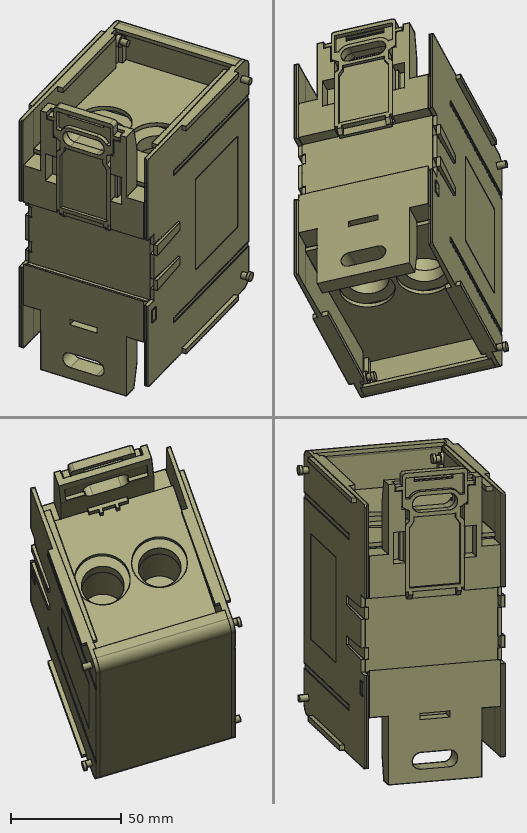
import cadquery as cq


depth = 95.0
half_height = 62.5
half_width = 33.3
sheet = 1.9
inner_half = half_width - sheet
plate_back_radius = 5.1
plate_front_radius = 1.2

chamber_z = 41.2
floor_front_y = 10.1
floor_slab = 2.0
shadow_groove = 0.7
block_z = 38.2
block_half = 31.0
tab_half = 22.1
tab_top_z = 71.2
tab_bottom_z = -70.8
tab_tip_y = 7.2
tab_taper_z = 58.5
rail_z = 18.2
rail_y = 5.4
hook_rise = 2.2
hook_y = 3.8
lip_y = 85.3
slot_z = 60.7
slot_radius = 4.0
slot_half = 10.7

clip_thick = 4.1
clip_top_z = 75.8
clip_tip_z = 15.7
clip_half = 13.9
head_half = 15.4
head_z = 59.8
ear_half = 18.5
ear_z = 67.9
ear_high = 1.9
clip_gap = 0.3
head_recess_z = 58.8
clip_upper_depth = 2.2
clip_lower_depth = 1.5

port_radius = 12.6
port_x = 13.6
port_y = 44.4
strip_half = 29.5
strip_y0 = 28.6
strip_y1 = 60.2
strip_top_z = 35.6
strip_thick = 6.6
strip_bottom_z = strip_top_z - strip_thick
bore_radius = 9.7
bore_shifts = {-1: 0.1, 1: 0.7}
passage_radius = 10.5
web_half = 3.0
web_back_y = 48.0

pin_radius = 1.6
pin_length = 11.9
pin_y = 88.7
pin_z = 53.8
pin_outer_x = 37.5
head_radius = 2.2
head_thick = 1.5
head_y = 89.2

boss_radius = 2.8
post_x = 29.2
post_y = 89.8
rail_start_y = 81.2
long_rail = 68.0
short_rail = 49.2
rail_thick = 2.5
rail_drop = 0.3
lining_x = 30.0
rebate_x = 32.2
rebate_depth = 0.5
outer_rail_x = 35.5
inner_rail_x = 28.1
notch_y = 6.0
rib_y = 28.6
rib_z = 9.5
latch_step = 0.5
latch_y = (3.5, 7.2)
latch_z = (-29.0, -22.3)
groove_depth = 0.5
groove_front_y = 24.8
panel_depth = 0.1
panel_y = (45.0, 84.7)
panel_z = 24.9
panel_radius = 0.6


def box(x0, x1, y0, y1, z0, z1):
    """Box between two opposite corners."""
    return cq.Workplane("XY").box(x1 - x0, y1 - y0, z1 - z0, centered=False).translate((x0, y0, z0))


def x_prism(points, x0, x1):
    """Extrude a (y, z) outline from x0 to x1."""
    return cq.Workplane("YZ").polyline(points).close().extrude(x1 - x0).translate((x0, 0, 0))


def x_rod(radius, x0, x1, y, z):
    """Round rod along x."""
    return cq.Workplane("YZ").center(y, z).circle(radius).extrude(x1 - x0).translate((x0, 0, 0))


def obround(half_length, radius, z, y0, y1):
    """Rounded slot tool along y, centred on the mid-plane."""
    tool = cq.Workplane("XZ").center(0, z).slot2D(2 * half_length, 2 * radius).extrude(y0 - y1)
    return tool.translate((0, y0, 0))


def y_prism(half_points, y0, y1):
    """Extrude an (x, z) outline, given by its right half and mirrored, from y0 to y1."""
    left = [(-x, z) for x, z in reversed(half_points)]
    return cq.Workplane("XZ").polyline(half_points + left).close().extrude(y0 - y1).translate((0, y0, 0))


def vertical_bores(radius, shifts, half_length):
    """Pair of round bore tools, each shifted back from its port centre."""
    centres = [(side * port_x, port_y + shift) for side, shift in shifts.items()]
    return cq.Workplane("XY").pushPoints(centres).circle(radius).extrude(half_length, both=True)


def pressed_rib(face_x, z):
    """Tapered rib rising in +x from a face; it grows wider and higher towards the front."""
    low, high = 1.0, 1.6
    thin, wide = 4.1, 5.5
    back = cq.Workplane("XZ", origin=(face_x, rib_y, z)).center(low / 2, 0).rect(low, thin)
    front = back.workplane(offset=rib_y - notch_y).center((high - low) / 2, 0)
    return front.rect(high, wide).loft()


def corner_sheet(x0):
    """Plain sheet with rounded corners and the rail notch."""
    plate = box(x0, x0 + sheet, 0, depth, -half_height, half_height)
    plate = plate.edges("|X and >Y").fillet(plate_back_radius)
    plate = plate.edges("|X and <Y").fillet(plate_front_radius)
    return plate.cut(box(x0, x0 + sheet, 0, notch_y, -rail_z, rail_z))


def joining_rail(x0, x1, end, length):
    """Rail on a plate edge; end is +1 for the top edge and -1 for the bottom edge."""
    edge_z = half_height - (rail_drop if length == long_rail else 0)
    z0, z1 = sorted((end * edge_z, end * (half_height - rail_thick)))
    return box(min(x0, x1), max(x0, x1), rail_start_y - length, rail_start_y, z0, z1)


def chamber_lining(side, end):
    """Wedge on the inner face of a chamber wall, thickening towards the back."""
    inner, back = side * inner_half, side * lining_x
    wedge = cq.Workplane("XY").polyline([(inner, floor_front_y), (inner, lip_y), (back, lip_y)]).close()
    wedge = wedge.extrude(half_height - chamber_z)
    return wedge.translate((0, 0, chamber_z if end > 0 else -half_height))


def outer_face_recess(side, recess, y0, y1, z0, z1):
    """Box that sinks into an outer plate face, or stands out from it when recess is negative."""
    x0, x1 = sorted((side * half_width, side * (half_width - recess)))
    return box(x0, x1, y0, y1, z0, z1)


def side_plate(side):
    x0 = -half_width if side < 0 else inner_half
    plate = corner_sheet(x0)
    rebate_xs = sorted((side * inner_half, side * rebate_x))
    plate = plate.cut(box(*rebate_xs, 0, rebate_depth, -half_height, half_height))

    for end in (1, -1):
        left_length = long_rail if end > 0 else short_rail
        outer_length, inner_length = (left_length, short_rail) if side < 0 else (short_rail, left_length)
        plate = plate.union(joining_rail(side * half_width, side * outer_rail_x, end, outer_length))
        plate = plate.union(chamber_lining(side, end))
        plate = plate.union(joining_rail(side * inner_half, side * inner_rail_x, end, inner_length))

        post_z = sorted((end * chamber_z, end * pin_z))
        post_xs = sorted((side * inner_half, side * post_x))
        plate = plate.union(box(*post_xs, post_y, depth - sheet, *post_z))
        plate = plate.union(x_rod(boss_radius, *post_xs, pin_y, end * pin_z))

        rib_centre = end * rib_z
        plate = plate.cut(pressed_rib(x0, rib_centre)).union(pressed_rib(x0 + sheet, rib_centre))

        groove_z = sorted((end * (chamber_z + groove_depth), end * (chamber_z - floor_slab)))
        plate = plate.cut(outer_face_recess(side, groove_depth, groove_front_y, depth, *groove_z))

    panel = outer_face_recess(side, panel_depth, *panel_y, -panel_z, panel_z)
    plate = plate.cut(panel.edges("|X").fillet(panel_radius))

    if side < 0:
        plate = plate.cut(outer_face_recess(side, latch_step, *latch_y, *latch_z))
    else:
        plate = plate.union(outer_face_recess(side, -latch_step, *latch_y, *latch_z))

    for pin in pins:
        plate = plate.cut(pin)
    return plate


def joining_pin(side, end):
    """Pin through a side plate; the head is on the left at the top and on the right at the bottom."""
    outer = side * pin_outer_x
    inner = side * (pin_outer_x - pin_length)
    left, right = sorted((outer, inner))
    rod = x_rod(pin_radius, left, right, pin_y, end * pin_z)
    head_left = left if end > 0 else right - head_thick
    return rod.union(x_rod(head_radius, head_left, head_left + head_thick, head_y, end * pin_z))


def back_wall():
    """Back wall bent forward into a lip at the top and bottom."""
    outer = box(-inner_half, inner_half, lip_y, depth, -half_height, half_height)
    outer = outer.edges("|X and >Y").fillet(plate_back_radius)
    hollow_z = half_height - sheet
    hollow = box(-inner_half, inner_half, lip_y, depth - sheet, -hollow_z, hollow_z)
    hollow = hollow.edges("|X and >Y").fillet(plate_back_radius - sheet)
    return outer.cut(hollow)


def mounting_block(end, tip_z):
    """Wide block and its narrower tapered tab; end is +1 above the rail and -1 below it."""
    z0, z1 = sorted((end * rail_z, end * block_z))
    block = box(-block_half, block_half, 0, floor_front_y, z0, z1)
    outline = [
        (0, end * rail_z),
        (0, tip_z),
        (tab_tip_y, tip_z),
        (floor_front_y, end * tab_taper_z),
        (floor_front_y, end * rail_z),
    ]
    tab = x_prism(outline, -tab_half, tab_half)
    return block.union(tab).cut(obround(slot_half, slot_radius, end * slot_z, 0, floor_front_y))


def clip_recess():
    recess = box(-clip_half, clip_half, 0, clip_thick, rail_z, tab_top_z)
    head = head_half + clip_gap
    recess = recess.union(box(-head, head, 0, clip_thick, head_recess_z, tab_top_z))
    ear = ear_half + 2 * clip_gap
    return recess.union(box(-ear, ear, 0, clip_thick, ear_z - clip_gap, tab_top_z))


def clip_windows():
    """Stepped windows either side of the clip."""
    window_z = (33.5, 48.4)
    window_outer, window_depth = 19.6, 6.6
    windows = box(-head_half, head_half, 0, clip_thick, *window_z)
    for x0 in (-window_outer, head_half):
        windows = windows.union(box(x0, x0 + window_outer - head_half, 0, window_depth, *window_z))
    return windows


def clip_stop():
    """Ledge and two small fingers on the chamber floor behind the upper tab."""
    ledge_half, ledge_back, ledge_high = 9.4, 12.2, 3.0
    finger_inner, finger_outer, finger_back = 3.1, 4.7, 14.2
    top = chamber_z + ledge_high
    stop = box(-ledge_half, ledge_half, floor_front_y, ledge_back, chamber_z, top)
    for x0 in (-finger_outer, finger_inner):
        stop = stop.union(box(x0, x0 + finger_outer - finger_inner, ledge_back, finger_back, chamber_z, top))
    return stop


def tab_pocket():
    """Stepped pocket in the sloping back of the upper tab."""
    wide, narrow, pocket_y = 19.6, 10.4, 8.0
    wide_floor, narrow_floor = 59.4, 58.6
    pocket = box(-wide, wide, pocket_y, floor_front_y, wide_floor, tab_top_z)
    return pocket.union(box(-narrow, narrow, pocket_y, floor_front_y, narrow_floor, tab_top_z))


def strip_cavity(end):
    """Cavity for a terminal strip, under the upper floor (end +1) or the lower floor (end -1)."""
    z0, z1 = sorted((end * strip_bottom_z, end * (chamber_z - floor_slab)))
    return box(-strip_half, strip_half, strip_y0, strip_y1, z0, z1)


def terminal_passages():
    """Passages between the strips, with a web left across the front part of each."""
    web = box(-strip_half, strip_half, strip_y0, web_back_y, -web_half, web_half)
    return vertical_bores(passage_radius, bore_shifts, strip_bottom_z).cut(web)


def floor_ports():
    """Round openings in both chamber floors."""
    ports = vertical_bores(port_radius, {-1: 0, 1: 0}, chamber_z)
    return ports.cut(box(-half_width, half_width, 0, depth, -strip_bottom_z, strip_bottom_z))


def rib_grooves():
    """Grooves that take the ribs of the left side plate, open to the rail recess."""
    grooves = pressed_rib(-inner_half, rib_z).union(pressed_rib(-inner_half, -rib_z))
    mouth = grooves.faces("<Y").wires().toPending().extrude(notch_y - rail_y)
    return grooves.union(mouth)


def make_housing():
    wall_y = depth - sheet
    body = box(-inner_half, inner_half, floor_front_y, wall_y, -chamber_z, chamber_z)
    body = body.union(box(-inner_half, inner_half, rail_y, floor_front_y, -rail_z, rail_z))
    for end in (1, -1):
        z0, z1 = sorted((end * block_z, end * (chamber_z - floor_slab)))
        body = body.cut(box(-inner_half, inner_half, floor_front_y, floor_front_y + shadow_groove, z0, z1))
    body = body.union(back_wall())
    body = body.union(mounting_block(1, tab_top_z)).union(mounting_block(-1, tab_bottom_z))

    hook = [(0, -rail_z), (0, hook_rise - rail_z), (hook_y, -rail_z)]
    body = body.union(x_prism(hook, -block_half, block_half))

    body = body.cut(clip_recess()).cut(clip_windows()).cut(tab_pocket()).union(clip_stop())

    tool_half, tool_depth = 7.0, 5.9
    body = body.cut(box(-tool_half, tool_half, 0, tool_depth, -chamber_z, -block_z))

    body = body.cut(floor_ports())
    for end in (1, -1):
        body = body.cut(strip_cavity(end))
    body = body.cut(terminal_passages())
    return body.cut(rib_grooves())


def terminal_strip(end):
    """Flat strip with two bores; end is +1 for the upper strip and -1 for the lower strip."""
    z0, z1 = sorted((end * strip_top_z, end * strip_bottom_z))
    strip = box(-strip_half, strip_half, strip_y0, strip_y1, z0, z1)
    return strip.cut(vertical_bores(bore_radius, bore_shifts, strip_top_z))


def clip_blank():
    waist_half, waist_z0, waist_z1 = 12.0, 53.2, 57.7
    tip_half, shoulder_z = 12.6, 19.6
    outline = [
        (tip_half, clip_tip_z),
        (tip_half, shoulder_z),
        (clip_half, shoulder_z),
        (clip_half, waist_z0 - clip_half + waist_half),
        (waist_half, waist_z0),
        (waist_half, waist_z1),
        (head_half, head_z),
        (head_half, ear_z),
        (ear_half, ear_z),
        (ear_half, ear_z + ear_high),
        (head_half, ear_z + ear_high),
        (head_half, clip_top_z),
    ]
    blank = y_prism(outline, 0, clip_thick)
    top_radius = 1.8
    blank = blank.edges("|Y and >Z").fillet(top_radius)
    land_y, slope_z, relief_half, relief_y = 1.9, 18.2, 10.4, 2.6
    slope = x_prism([(0, clip_tip_z), (land_y, clip_tip_z), (0, slope_z)], -tip_half, tip_half)
    relief = box(-relief_half, relief_half, 0, relief_y, clip_tip_z, shoulder_z)
    return blank.cut(slope).cut(relief)


def clip_face_recesses():
    """Upper recess, which leaves a rim around the slot, and lower panel recess."""
    rim = 1.9
    upper_z = (63.6, 73.5)
    corner_radius = 0.6
    upper = box(-clip_half, clip_half, 0, clip_upper_depth, *upper_z).edges("|Y").fillet(corner_radius)
    upper = upper.cut(obround(slot_half + rim, slot_radius + rim, slot_z, 0, clip_upper_depth))
    lower_half, neck_half = 12.0, 10.0
    lower = [
        (lower_half, 21.4),
        (lower_half, 49.8),
        (neck_half, 52.8),
        (neck_half, 54.8),
    ]
    return upper.union(y_prism(lower, 0, clip_lower_depth))


def make_clip():
    clip = clip_blank().cut(clip_face_recesses())
    clip = clip.cut(obround(slot_half, slot_radius, slot_z, 0, clip_thick))
    pry_half, pry_z = 9.1, (71.0, 73.3)
    return clip.cut(box(-pry_half, pry_half, 0, clip_thick, *pry_z))


pins = [joining_pin(side, end) for side in (-1, 1) for end in (1, -1)]
side_plates = [side_plate(side) for side in (-1, 1)]
terminal_strips = [terminal_strip(end) for end in (1, -1)]
housing = make_housing()
clip = make_clip()

bodies = [housing, clip, *side_plates, *terminal_strips, *pins]
result = cq.Compound.makeCompound([body.val() for body in bodies])